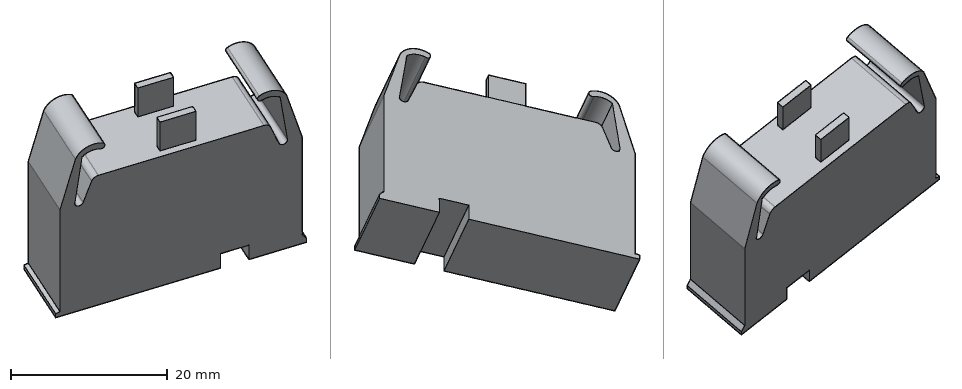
import cadquery as cq
import math

width = 10.0
body_half_length = 16.9
body_top = 22.5
shoulder_height = 18.5
body_edge_radius = 1.0
body_wall_lean = math.radians(20)

foot_half_length = 17.5
foot_edge_height = 0.7
back_foot_top = 1.5
front_foot_top = 0.85

notch_center_y = 7.475
notch_length = 3.95
notch_height = 2.5

overall_height = 28.17
hook_outer_radius = 2.8
hook_inner_radius = 2.4
hook_tip_thickness = 0.95
hook_center_y = 12.18
hook_start_height = 26.5
hook_tip_angle = math.radians(117.5)

slot_radius = 0.6
slot_bottom = 18.2
slot_center_y = 14.23
arm_wall_lean = math.radians(7.5)

blade_thickness = 1.0
blade_length = 5.0
blade_top = 27.5
blade_side_gap = 1.0

hook_center = (hook_center_y, overall_height - hook_outer_radius)
slot_center = (slot_center_y, slot_bottom + slot_radius)


def on_circle(center, radius, angle):
    """Point on a circle, with the angle measured from +Y toward +Z."""
    return (center[0] + radius * math.cos(angle), center[1] + radius * math.sin(angle))


def make_base():
    """Bottom slab with its two feet and the notch, up to the top of the notch."""
    outline = [
        (-foot_half_length, 0),
        (foot_half_length, 0),
        (foot_half_length, foot_edge_height),
        (body_half_length, back_foot_top),
        (body_half_length, notch_height),
        (-body_half_length, notch_height),
        (-body_half_length, front_foot_top),
        (-foot_half_length, foot_edge_height),
    ]
    slab = cq.Workplane("YZ").polyline(outline).close().extrude(width / 2, both=True)
    notch = cq.Workplane("XY").box(width, notch_length, notch_height, centered=(True, True, False))
    return slab.cut(notch.translate((0, notch_center_y, 0)))


def make_upper_end():
    """Housing above the base on the +Y side: hook, arm, slot and body top."""
    outer_start = math.asin((hook_start_height - hook_center[1]) / hook_outer_radius)
    outer_middle = (outer_start + hook_tip_angle) / 2
    tip_radius = hook_tip_thickness / 2
    tip_center = on_circle(hook_center, hook_outer_radius - tip_radius, hook_tip_angle)
    tip_end = on_circle(tip_center, tip_radius, hook_tip_angle + math.pi / 2)

    inner_start_point = on_circle(hook_center, hook_outer_radius - hook_tip_thickness, hook_tip_angle)
    inner_start = math.acos((inner_start_point[0] - hook_center[0]) / hook_inner_radius)
    inner_center_z = inner_start_point[1] - hook_inner_radius * math.sin(inner_start)
    inner_center = (hook_center[0], inner_center_z)

    offset_y = slot_center[0] - inner_center[0]
    offset_z = slot_center[1] - inner_center[1]
    wall_distance = (
        offset_y * math.cos(arm_wall_lean) + offset_z * math.sin(arm_wall_lean) + slot_radius
    )
    inner_end = arm_wall_lean + math.acos(wall_distance / hook_inner_radius)
    inner_middle = (inner_start + inner_end) / 2

    slot_body_angle = math.pi + body_wall_lean
    edge_center_z = body_top - body_edge_radius
    wall_run = (edge_center_z - slot_center[1]) * math.tan(body_wall_lean)
    center_gap = (slot_radius + body_edge_radius) / math.cos(body_wall_lean)
    edge_center = (slot_center[0] - wall_run - center_gap, edge_center_z)
    edge_middle = (body_wall_lean + math.pi / 2) / 2

    return (
        cq.Workplane("YZ")
        .moveTo(0, notch_height)
        .lineTo(body_half_length, notch_height)
        .lineTo(body_half_length, shoulder_height)
        .lineTo(*on_circle(hook_center, hook_outer_radius, outer_start))
        .threePointArc(
            on_circle(hook_center, hook_outer_radius, outer_middle),
            on_circle(hook_center, hook_outer_radius, hook_tip_angle),
        )
        .threePointArc(tip_end, inner_start_point)
        .threePointArc(
            on_circle(inner_center, hook_inner_radius, inner_middle),
            on_circle(inner_center, hook_inner_radius, inner_end),
        )
        .lineTo(*on_circle(slot_center, slot_radius, arm_wall_lean))
        .threePointArc(
            (slot_center[0], slot_bottom),
            on_circle(slot_center, slot_radius, slot_body_angle),
        )
        .lineTo(*on_circle(edge_center, body_edge_radius, body_wall_lean))
        .threePointArc(
            on_circle(edge_center, body_edge_radius, edge_middle),
            (edge_center[0], body_top),
        )
        .lineTo(0, body_top)
        .close()
        .extrude(width / 2, both=True)
    )


def make_blade(center_x):
    """Upright contact blade standing on the body top."""
    blade = cq.Workplane("XY").box(
        blade_thickness, blade_length, blade_top - body_top, centered=(True, True, False)
    )
    return blade.translate((center_x, 0, body_top))


upper_end = make_upper_end()
housing = make_base().union(upper_end).union(upper_end.mirror("XZ"))

blade_offset = width / 2 - blade_side_gap - blade_thickness / 2
for side in (-1, 1):
    housing = housing.union(make_blade(side * blade_offset))

result = housing.clean()